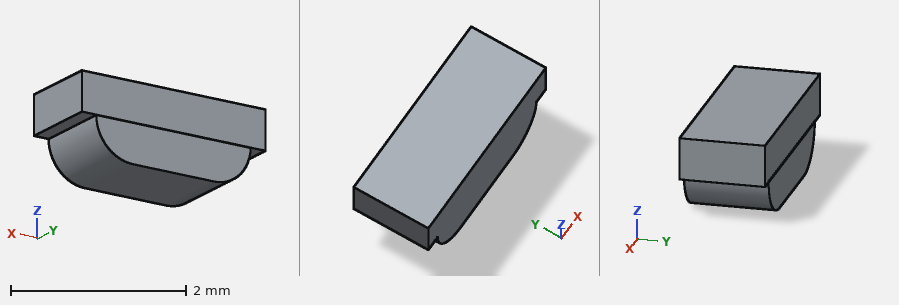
import cadquery as cq

length = 2.5
bar_depth = 1.01
bar_height = 0.5

body_length = 2.1
body_depth = 1.0
body_height = 0.5
corner_radius = body_height

front_y = -bar_depth / 2


def block(size_x, size_y, size_z, bottom_z):
    """Box centred in X whose front face lies on the common front plane."""
    return (
        cq.Workplane("XY")
        .box(size_x, size_y, size_z, centered=(True, False, False))
        .translate((0, front_y, bottom_z))
    )


def lower_body():
    """Plate with quarter-round ends that reach the full height of the body."""
    half_length = body_length / 2
    half_flat = half_length - corner_radius
    profile = (
        cq.Workplane("XZ", origin=(0, front_y, 0))
        .moveTo(-half_length, 0)
        .radiusArc((-half_flat, -body_height), -corner_radius)
        .lineTo(half_flat, -body_height)
        .radiusArc((half_length, 0), -corner_radius)
        .close()
    )
    return profile.extrude(-body_depth)


upper_bar = block(length, bar_depth, bar_height, 0)
result = upper_bar.union(lower_body())